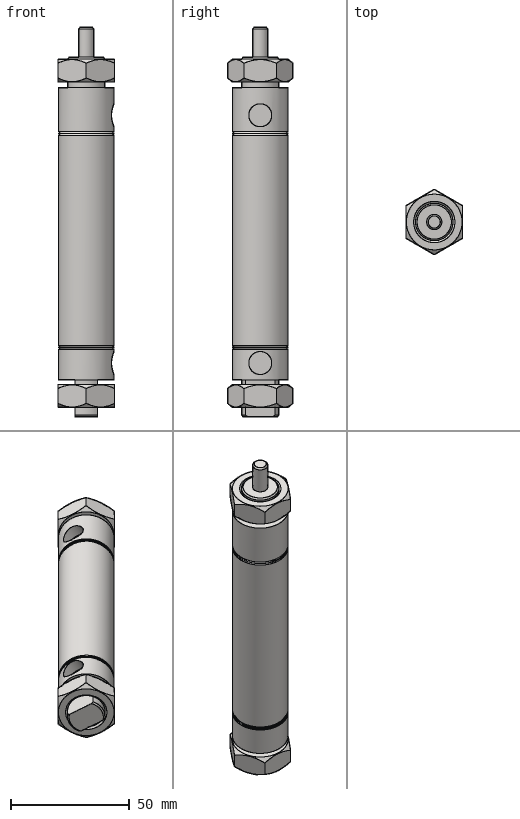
import cadquery as cq
import math

TOTAL_HEIGHT = 164.2
BARREL_BOTTOM = 15.6
BARREL_TOP = 138.8
NECK_TOP = 151.5

BARREL_DIAMETER = 23.5
LOWER_GROOVE_LEVEL = 29.2
UPPER_GROOVE_LEVEL = 119.4
GROOVE_STEP = 0.8
GROOVE_DEPTH = 0.7
PORT_DIAMETER = 9.7
PORT_DEPTH = 5.0
PORT_LEVELS = (22.7, 127.1)

NECK_DIAMETER = 15.8
NECK_CHAMFER = 0.7
LOWER_NECK_FLATS = 9.7

NUT_SIDES = 6
NUT_TURN = 180 / NUT_SIDES
NUT_CORNERS = 27.6
NUT_HEIGHT = 9.7
NUT_FACE_DIAMETER = 23.5
NUT_CHAMFER_ANGLE = 40.0
NUT_BORE_DIAMETER = NECK_DIAMETER
NUT_MOUTH_DIAMETER = 17.4
NUT_BOTTOMS = (4.0, 141.0)

ROD_DIAMETER = 6.4
ROD_CHAMFER = 0.7
ROD_BOTTOM = BARREL_TOP


def cylinder(diameter, bottom, top):
    """Round bar on the Z axis between two levels."""
    return cq.Workplane("XY").workplane(offset=bottom).circle(diameter / 2).extrude(top - bottom)


def revolve_profile(points):
    """Full turn of a closed (radius, height) profile about the Z axis."""
    return cq.Workplane("XZ").polyline(points).close().revolve(360, (0, 0), (0, 1))


def make_groove_ring(shallow_end, deep_end):
    """Triangular ring that tapers from the barrel surface to full depth at the deep end."""
    outer = BARREL_DIAMETER / 2
    profile = [(outer, shallow_end), (outer - GROOVE_DEPTH, deep_end), (outer, deep_end)]
    return revolve_profile(profile)


def make_port(level):
    """Round blind port cut into the +X side of the barrel."""
    floor = BARREL_DIAMETER / 2 - PORT_DEPTH
    return cq.Workplane("YZ", origin=(floor, 0, level)).circle(PORT_DIAMETER / 2).extrude(PORT_DEPTH)


def make_lower_neck():
    """Chamfered neck below the barrel, cut to two parallel flats."""
    neck = cylinder(NECK_DIAMETER, 0, BARREL_BOTTOM).faces("<Z").chamfer(NECK_CHAMFER)
    flats = cq.Workplane("XY").rect(LOWER_NECK_FLATS, NECK_DIAMETER).extrude(BARREL_BOTTOM)
    return neck.intersect(flats)


def make_housing():
    """Barrel with its necks, grooves, ports and rod bore."""
    upper_neck = cylinder(NECK_DIAMETER, BARREL_TOP, NECK_TOP).faces(">Z").chamfer(NECK_CHAMFER)
    barrel = cylinder(BARREL_DIAMETER, BARREL_BOTTOM, BARREL_TOP)
    housing = barrel.union(upper_neck).union(make_lower_neck())
    for level, rise in ((LOWER_GROOVE_LEVEL, -GROOVE_STEP), (UPPER_GROOVE_LEVEL, GROOVE_STEP)):
        housing = housing.cut(make_groove_ring(level - rise, level))
        housing = housing.cut(make_groove_ring(level, level + rise))
    for level in PORT_LEVELS:
        housing = housing.cut(make_port(level))
    return housing.cut(cylinder(ROD_DIAMETER, ROD_BOTTOM, NECK_TOP))


def make_rod():
    """Piston rod with a chamfered tip."""
    return cylinder(ROD_DIAMETER, ROD_BOTTOM, TOTAL_HEIGHT).faces(">Z").chamfer(ROD_CHAMFER)


def make_nut(bottom):
    """Hexagon nut with conically chamfered corners and a bore countersunk at both ends."""
    corner_radius = NUT_CORNERS / 2
    face_radius = NUT_FACE_DIAMETER / 2
    bore_radius = NUT_BORE_DIAMETER / 2
    mouth_radius = NUT_MOUTH_DIAMETER / 2
    corner_drop = (corner_radius - face_radius) * math.tan(math.radians(NUT_CHAMFER_ANGLE))
    mouth_depth = mouth_radius - bore_radius
    hexagon = cq.Workplane("XY").polygon(NUT_SIDES, NUT_CORNERS).extrude(NUT_HEIGHT)
    hexagon = hexagon.rotate((0, 0, 0), (0, 0, 1), NUT_TURN)
    half_section = [
        (bore_radius, mouth_depth),
        (mouth_radius, 0),
        (face_radius, 0),
        (corner_radius, corner_drop),
        (corner_radius, NUT_HEIGHT - corner_drop),
        (face_radius, NUT_HEIGHT),
        (mouth_radius, NUT_HEIGHT),
        (bore_radius, NUT_HEIGHT - mouth_depth),
    ]
    turned = revolve_profile(half_section)
    return hexagon.intersect(turned).translate((0, 0, bottom))


housing = make_housing()
rod = make_rod()
nuts = [make_nut(bottom) for bottom in NUT_BOTTOMS]

result = cq.Compound.makeCompound([housing.val(), rod.val(), *[nut.val() for nut in nuts]])